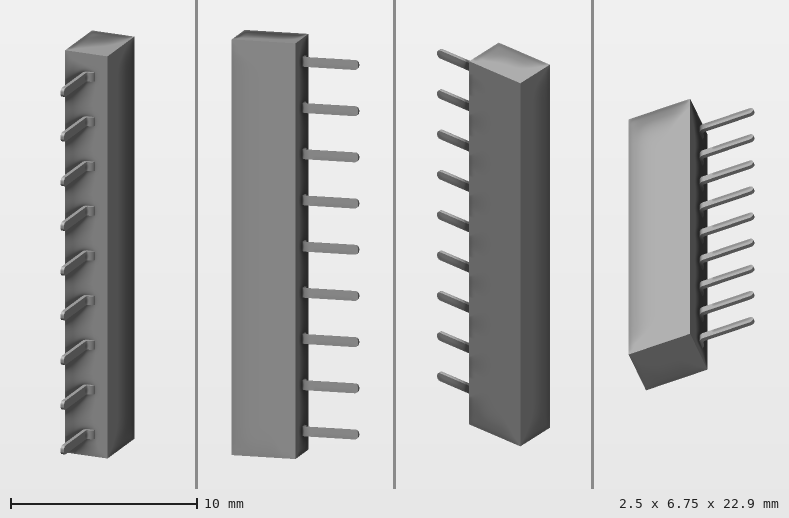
import cadquery as cq

PIN_COUNT = 9
HOUSING_HEIGHT = 22.85
HOUSING_WIDTH = 2.5
HOUSING_DEPTH = 3.57
PITCH = HOUSING_HEIGHT / PIN_COUNT

PIN_REACH = 3.18
PIN_WIDTH = 0.5
PIN_THICKNESS = 0.201
TIP_RADIUS = 0.2
BEND_INNER_RADIUS = 0.1
BEND_OUTER_RADIUS = BEND_INNER_RADIUS + PIN_THICKNESS
JOG_OFFSET = 0.43
JOG_SINK = 0.02
ROOT_DEPTH = 0.23


def make_housing():
    """Bar with its pin face on the plane Y = 0."""
    return cq.Workplane("XY").box(
        HOUSING_WIDTH, HOUSING_DEPTH, HOUSING_HEIGHT, centered=(True, False, True)
    )


def make_pin():
    """Jogged strip centred on Z = 0, its root sunk into the housing."""
    blade_left = -PIN_THICKNESS / 2
    blade_right = PIN_THICKNESS / 2
    root_left = blade_left + JOG_OFFSET
    root_right = blade_right + JOG_OFFSET
    first_center = (blade_left + BEND_OUTER_RADIUS, JOG_SINK - BEND_OUTER_RADIUS)
    second_center = (root_right - BEND_OUTER_RADIUS, JOG_SINK + BEND_INNER_RADIUS)

    profile = (
        cq.Workplane("XY")
        .moveTo(blade_left, -PIN_REACH)
        .lineTo(blade_right, -PIN_REACH)
        .lineTo(blade_right, first_center[1])
        .radiusArc((first_center[0], JOG_SINK - PIN_THICKNESS), BEND_INNER_RADIUS)
        .lineTo(second_center[0], JOG_SINK - PIN_THICKNESS)
        .radiusArc((root_right, second_center[1]), -BEND_OUTER_RADIUS)
        .lineTo(root_right, ROOT_DEPTH)
        .lineTo(root_left, ROOT_DEPTH)
        .lineTo(root_left, second_center[1])
        .radiusArc((second_center[0], JOG_SINK), BEND_INNER_RADIUS)
        .lineTo(first_center[0], JOG_SINK)
        .radiusArc((blade_left, first_center[1]), -BEND_OUTER_RADIUS)
        .close()
    )
    strip = profile.extrude(PIN_WIDTH / 2, both=True)
    return strip.faces("<Y").edges("|X").fillet(TIP_RADIUS)


result = make_housing()
pin = make_pin()
for index in range(PIN_COUNT):
    height = (index - (PIN_COUNT - 1) / 2) * PITCH
    result = result.union(pin.translate((0, 0, height)))

result = result.translate((0, (PIN_REACH - HOUSING_DEPTH) / 2, 0))